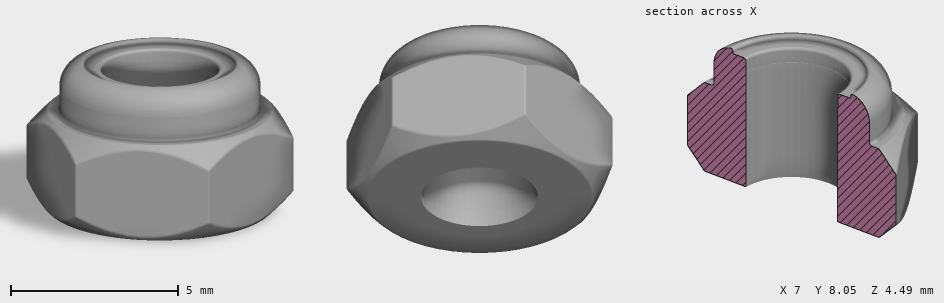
import cadquery as cq
import math

across_corners = 8.05
edge_round = 0.1
sharp_corners = across_corners + 2 * edge_round * (2 / math.sqrt(3) - 1)
body_height = 3.0
face_radius = 3.365

collar_radius = 3.0
collar_round = 0.75
collar_top = 4.5
rim_radius = collar_radius - collar_round

ring_top = collar_top - 0.16
ring_bottom = collar_top - 0.635
ring_bore_radius = 1.76

bore_radius = 1.75

cone_margin = 0.805


def cone_envelope():
    """Solid of revolution that chamfers both ends of the hexagon at 45 degrees."""
    reach = sharp_corners / 2 + cone_margin - face_radius
    outer = face_radius + reach
    profile = (
        cq.Workplane("XZ")
        .lineTo(face_radius, 0)
        .lineTo(outer, reach)
        .lineTo(outer, body_height - reach)
        .lineTo(face_radius, body_height)
        .lineTo(0, body_height)
        .close()
    )
    return profile.revolve(360, (0, 0, 0), (0, 1, 0))


def hexagonal_body():
    """Hexagon with corners on the Y axis, chamfered and blended on every edge."""
    hexagon = (
        cq.Workplane("XY")
        .polygon(6, sharp_corners)
        .extrude(body_height)
        .rotate((0, 0, 0), (0, 0, 1), 30)
    )
    return hexagon.intersect(cone_envelope()).edges().fillet(edge_round)


def collar():
    """Domed collar with a rounded inner rim around the recessed locking ring."""
    arc_offset = collar_round * math.sqrt(0.5)
    arc_middle = (rim_radius + arc_offset, collar_top - collar_round + arc_offset)
    foot_offset = edge_round * (1 - math.sqrt(0.5))
    shell = (
        cq.Workplane("XZ")
        .moveTo(0, body_height / 2)
        .lineTo(collar_radius, body_height / 2)
        .lineTo(collar_radius, collar_top - collar_round)
        .threePointArc(arc_middle, (rim_radius, collar_top))
        .lineTo(rim_radius, ring_top)
        .lineTo(0, ring_top)
        .close()
        .revolve(360, (0, 0, 0), (0, 1, 0))
    )
    shell = shell.edges(">Z").fillet(edge_round)
    foot = (
        cq.Workplane("XZ")
        .moveTo(0, body_height)
        .lineTo(collar_radius + edge_round, body_height)
        .threePointArc(
            (collar_radius + foot_offset, body_height + foot_offset),
            (collar_radius, body_height + edge_round),
        )
        .lineTo(0, body_height + edge_round)
        .close()
        .revolve(360, (0, 0, 0), (0, 1, 0))
    )
    return shell.union(foot)


def bore():
    """Through hole, slightly wider in the locking ring and rounded at its mouth."""
    mouth_offset = edge_round * (1 - math.sqrt(0.5))
    return (
        cq.Workplane("XZ")
        .lineTo(bore_radius, 0)
        .lineTo(bore_radius, ring_bottom)
        .lineTo(ring_bore_radius, ring_bottom)
        .lineTo(ring_bore_radius, ring_top - edge_round)
        .threePointArc(
            (ring_bore_radius + mouth_offset, ring_top - mouth_offset),
            (ring_bore_radius + edge_round, ring_top),
        )
        .lineTo(0, ring_top)
        .close()
        .revolve(360, (0, 0, 0), (0, 1, 0))
    )


result = hexagonal_body().union(collar()).cut(bore())